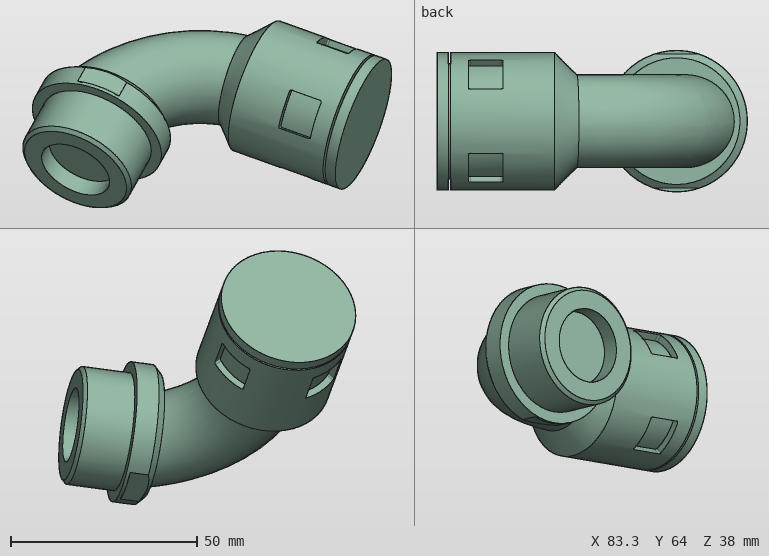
import cadquery as cq
import math


spigot_diameter = 32.0
spigot_length = 14.0
spigot_chamfer = 1.0
bore_diameter = 20.0
bore_depth = 5.0
collar_diameter = 38.0
collar_length = 8.0
collar_chamfer = 2.0
collar_top = spigot_length + collar_length

flat_span = 36.0
flat_lip = 1.0

tube_diameter = 25.0
bend_radius = 39.5
bend_center_x = 34.0

socket_diameter = 37.0
socket_axis_y = 45.5
socket_cone_end = 32.8
socket_end = 64.3
cone_root_diameter = 20.0
end_ring_length = 3.0
groove_width = 0.6
groove_diameter = 30.95

window_count = 4
window_first_angle = 45.0
window_start = 46.6
window_length = 9.3
window_width = 10.9
window_floor_diameter = 33.0
window_corner_radius = 0.5


def make_threaded_end():
    """Spigot and collar revolved about Y, with a blind bore and two wrench flats."""
    spigot_radius = spigot_diameter / 2
    collar_radius = collar_diameter / 2
    body = (
        cq.Workplane("XY")
        .moveTo(0, 0)
        .lineTo(spigot_radius - spigot_chamfer, 0)
        .lineTo(spigot_radius, spigot_chamfer)
        .lineTo(spigot_radius, spigot_length)
        .lineTo(collar_radius, spigot_length)
        .lineTo(collar_radius, collar_top - collar_chamfer)
        .lineTo(collar_radius - collar_chamfer, collar_top)
        .lineTo(0, collar_top)
        .close()
        .revolve(360, (0, 0, 0), (0, 1, 0))
    )
    bore = cq.Workplane("XZ").circle(bore_diameter / 2).extrude(-bore_depth)
    body = body.cut(bore)

    flat_start = spigot_length + flat_lip
    flat_length = collar_top - flat_start
    flat_depth = (collar_diameter - flat_span) / 2
    for side in (1, -1):
        cutter = cq.Workplane("XY").box(collar_diameter, flat_length, flat_depth).translate(
            (0, flat_start + flat_length / 2, side * (flat_span + flat_depth) / 2)
        )
        body = body.cut(cutter)
    return body


def make_tube():
    """Circular bend from inside the collar to a tangent along X inside the socket cone."""
    bend_center_y = socket_axis_y - bend_radius
    start_y = spigot_length + collar_length / 2
    start_angle = math.pi - math.asin((start_y - bend_center_y) / bend_radius)
    middle_angle = (start_angle + math.pi / 2) / 2

    def bend_point(angle):
        return (
            bend_center_x + bend_radius * math.cos(angle),
            bend_center_y + bend_radius * math.sin(angle),
        )

    path = (
        cq.Workplane("XY")
        .moveTo(*bend_point(math.pi / 2))
        .threePointArc(bend_point(middle_angle), bend_point(start_angle))
    )
    section = cq.Workplane("YZ", origin=(bend_center_x, socket_axis_y, 0)).circle(tube_diameter / 2)
    return section.sweep(path)


def make_window_cutter(angle):
    """Pocket with parallel walls, open outward, ending on a cylindrical floor."""
    reach = socket_diameter
    block = (
        cq.Workplane("XY")
        .rect(window_length, window_width)
        .extrude(reach)
        .edges("|Z")
        .fillet(window_corner_radius)
    )
    core = cq.Workplane("YZ").circle(window_floor_diameter / 2).extrude(window_length, both=True)
    middle_x = window_start + window_length / 2
    return (
        block.cut(core)
        .rotate((0, 0, 0), (1, 0, 0), angle)
        .translate((middle_x, socket_axis_y, 0))
    )


def make_socket():
    """45-degree cone and cylinder revolved about X, with an end groove and latch windows."""
    socket_radius = socket_diameter / 2
    root_radius = cone_root_diameter / 2
    cone_start = socket_cone_end - (socket_radius - root_radius)
    groove_radius = groove_diameter / 2
    groove_end = socket_end - end_ring_length
    groove_start = groove_end - groove_width
    body = (
        cq.Workplane("XY", origin=(0, socket_axis_y, 0))
        .moveTo(cone_start, 0)
        .lineTo(cone_start, root_radius)
        .lineTo(socket_cone_end, socket_radius)
        .lineTo(groove_start, socket_radius)
        .lineTo(groove_start, groove_radius)
        .lineTo(groove_end, groove_radius)
        .lineTo(groove_end, socket_radius)
        .lineTo(socket_end, socket_radius)
        .lineTo(socket_end, 0)
        .close()
        .revolve(360, (0, 0, 0), (1, 0, 0))
    )
    for index in range(window_count):
        angle = window_first_angle + index * 360 / window_count
        body = body.cut(make_window_cutter(angle))
    return body


result = make_threaded_end().union(make_tube()).union(make_socket())